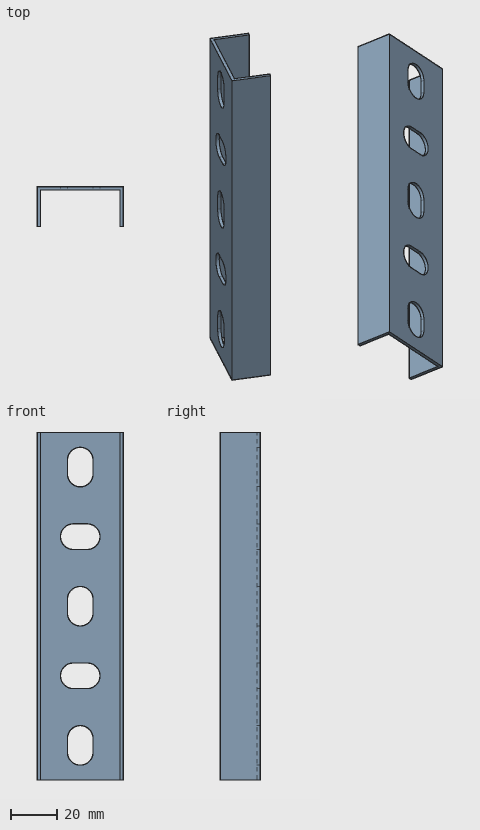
import cadquery as cq

length = 150.0
width = 37.2
depth = 17.2
thickness = 1.5

slot_length = 17.0
slot_width = 11.0
slot_pitch = 30.0
slot_count = 5


def make_channel():
    """U-shaped profile, centred on the origin and open toward -Y."""
    outer = cq.Workplane("XY").box(width, depth, length)
    inner = (
        cq.Workplane("XY")
        .box(width - 2 * thickness, depth, length)
        .translate((0, -thickness, 0))
    )
    return outer.cut(inner)


def make_slot(height, angle):
    """Slot cutter through the web; angle 90 runs lengthwise, 0 crosswise."""
    return (
        cq.Workplane("XZ")
        .center(0, height)
        .slot2D(slot_length, slot_width, angle)
        .extrude(depth, both=True)
    )


result = make_channel()
for index in range(slot_count):
    slot_height = (index - (slot_count - 1) / 2) * slot_pitch
    slot_angle = 90 if index % 2 == 0 else 0
    result = result.cut(make_slot(slot_height, slot_angle))